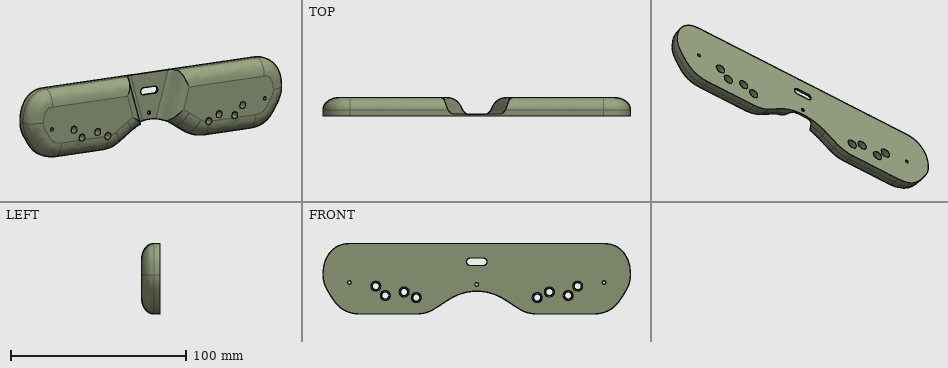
import cadquery as cq
import math

LENGTH = 175.34
THICKNESS = 10.57
HEIGHT = 40.3
HALF_LENGTH = LENGTH / 2

TOP_EDGE_HALF = 72.2
BOTTOM_EDGE_END = 66.2
WIDEST_Z = -18.0
UPPER_END_POINT = (83.2, -4.6)
LOWER_END_POINT = (84.2, -28.4)

NOSE_DEPTH = 13.0
CROWN_RADIUS = 29.0
FOOT_RADIUS = 19.0
FLANK_ANGLE = math.radians(33)

RIM_HEIGHT = 3.5
ROUNDING_RISE = THICKNESS - RIM_HEIGHT
ROUNDING_INSET = 9.3

BRIDGE_THICKNESS = 1.1
GAP_TOP_HALF = 16.3
GAP_NARROWING = 0.295
GAP_FLOOR_INSET = 3.6
GAP_LIP_INSET = 7.5

STEPPED_HOLES = [(34.45, -30.9), (41.4, -27.7), (52.1, -29.7), (57.55, -24.4)]
WIDE_DIAMETER = 5.7
NARROW_DIAMETER = 4.01
WIDE_DEPTH = THICKNESS / 2

PIN_DIAMETER = 1.9
PIN_HOLES = [(-72.6, -22.3), (0, -23.4), (72.6, -22.3)]
SLOT_LENGTH = 11.6
SLOT_WIDTH = 4.1
SLOT_Z = -10.5

SIN_FLANK = math.sin(FLANK_ANGLE)
COS_FLANK = math.cos(FLANK_ANGLE)
CROWN_Z = NOSE_DEPTH - HEIGHT
FLANK_LENGTH = (NOSE_DEPTH - (CROWN_RADIUS + FOOT_RADIUS) * (1 - COS_FLANK)) / SIN_FLANK
FLANK_TOP = (CROWN_RADIUS * SIN_FLANK, CROWN_Z - CROWN_RADIUS * (1 - COS_FLANK))
FLANK_BOTTOM = (
    FLANK_TOP[0] + FLANK_LENGTH * COS_FLANK,
    FLANK_TOP[1] - FLANK_LENGTH * SIN_FLANK,
)
FOOT_END = (FLANK_BOTTOM[0] + FOOT_RADIUS * SIN_FLANK, -HEIGHT)


def front_plane():
    """Sketch plane on the front face: local x is X, local y is Z, normal is -Y."""
    return cq.Workplane("XZ")


def half_outline():
    """Closed outline of the right half, seen from the front."""
    half_angle = FLANK_ANGLE / 2
    foot_middle = (
        FOOT_END[0] - FOOT_RADIUS * math.sin(half_angle),
        FOOT_RADIUS * (1 - math.cos(half_angle)) - HEIGHT,
    )
    crown_middle = (
        CROWN_RADIUS * math.sin(half_angle),
        CROWN_Z - CROWN_RADIUS * (1 - math.cos(half_angle)),
    )
    widest = (HALF_LENGTH, WIDEST_Z)
    bottom_end = (BOTTOM_EDGE_END, -HEIGHT)
    return (
        front_plane()
        .lineTo(TOP_EDGE_HALF, 0)
        .spline([UPPER_END_POINT, widest], tangents=[(1, 0), (0, -1)], includeCurrent=True)
        .spline([LOWER_END_POINT, bottom_end], tangents=[(0, -1), (-1, 0)], includeCurrent=True)
        .lineTo(*FOOT_END)
        .threePointArc(foot_middle, FLANK_BOTTOM)
        .lineTo(*FLANK_TOP)
        .threePointArc(crown_middle, (0, CROWN_Z))
        .close()
    )


def rounded_half():
    """Right half with its elliptical rounding: a round fillet flattened along Y."""
    flattening = ROUNDING_RISE / ROUNDING_INSET
    tall = half_outline().extrude(-THICKNESS / flattening)
    rim_edges = tall.faces(">Y").edges("not <X")
    filleted = rim_edges.fillet(ROUNDING_INSET).val()
    flatten = cq.Matrix([[1, 0, 0, 0], [0, flattening, 0, 0], [0, 0, 1, 0]])
    return cq.Workplane(filleted.transformGeometry(flatten))


def half_gap():
    """Cutter for the right half of the gap, its wall profile leaning inwards on the way down."""
    lip_x = GAP_TOP_HALF + GAP_LIP_INSET
    floor_x = GAP_TOP_HALF - GAP_FLOOR_INSET
    narrowing = GAP_NARROWING * HEIGHT

    def profile(plane, shift):
        return (
            plane.moveTo(-narrowing, BRIDGE_THICKNESS)
            .lineTo(floor_x - shift, BRIDGE_THICKNESS)
            .spline(
                [(GAP_TOP_HALF - shift, RIM_HEIGHT), (lip_x - shift, THICKNESS)],
                tangents=[(1, 0), (1, 0)],
                includeCurrent=True,
            )
            .lineTo(-narrowing, THICKNESS)
            .close()
        )

    top = profile(cq.Workplane("XY"), 0)
    return profile(top.workplane(offset=-HEIGHT), narrowing).loft(ruled=True)


def body():
    """Both halves joined."""
    half = rounded_half().cut(half_gap())
    return half.union(half.mirror("YZ"))


def drill(points, diameter, depth):
    """Round cutters going back from the front face."""
    return front_plane().pushPoints(points).circle(diameter / 2).extrude(-depth)


def slot():
    return front_plane().center(0, SLOT_Z).slot2D(SLOT_LENGTH, SLOT_WIDTH).extrude(-THICKNESS)


stepped_holes = STEPPED_HOLES + [(-x, z) for x, z in STEPPED_HOLES]

result = (
    body()
    .cut(drill(stepped_holes, NARROW_DIAMETER, THICKNESS))
    .cut(drill(stepped_holes, WIDE_DIAMETER, WIDE_DEPTH))
    .cut(drill(PIN_HOLES, PIN_DIAMETER, THICKNESS))
    .cut(slot())
)